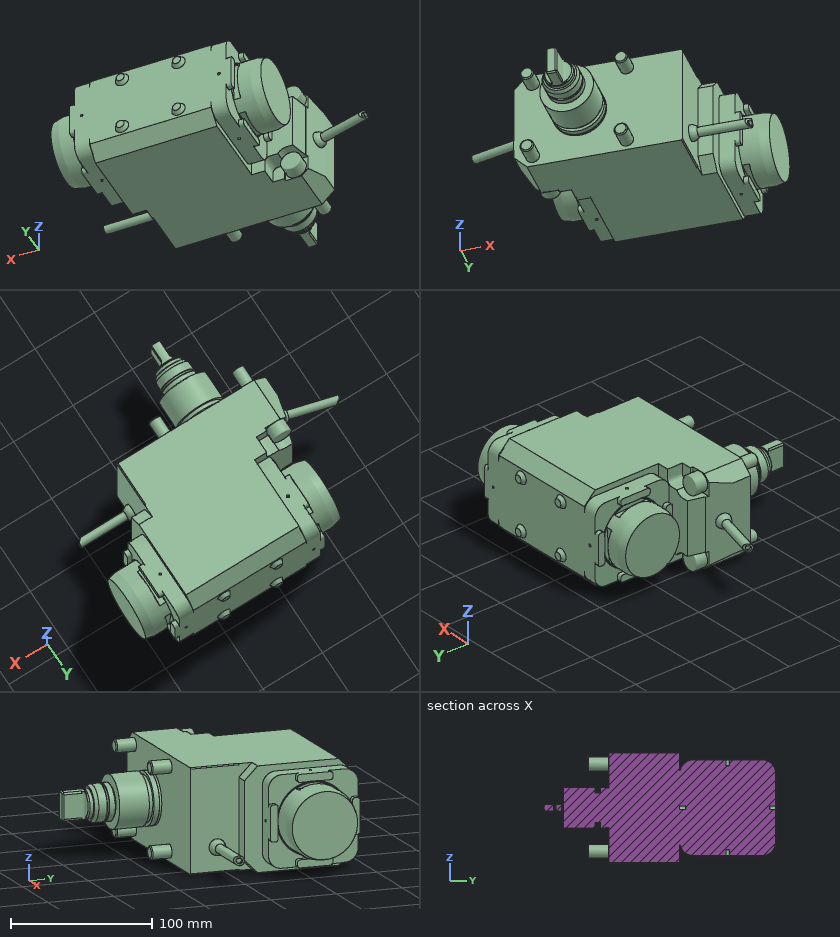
import cadquery as cq
import math


half_height = 39.0
corner_chamfer = 10.0
back_y = 118.6
step_y = 36.7
shelf_y = 50.3
base_left_x = -49.2
base_right_x = 76.2
base_right_chamfer = 0.8
mid_x = 40.0
half_width = 47.5
slope_start_y = 16.1
slope_angle = 15
upper_inset = 0.5

left_screw_x = -35.0
right_screw_x = 34.8
screw_z = 31.0
stud_d = 10.0
stud_length = 15.3
stud_chamfer = 0.8
head_d = 16.0
head_seat_y = 34.4
head_height = 10.0
head_fillet = 0.8
counterbore_r = 8.3
notch_floor_z = 26.5
notch_right_x = -17.8
notch_fillet = 4.5

flange_reach = 59.5
flange_size = 68.3
flange_y = shelf_y + flange_size / 2
flange_radius = 10.0
pad_thickness = 3.8
pad_length = 27.2
pad_width = 6.0
pad_radius = 2.1
left_pin_hole_d = 2.1
right_pin_hole_d = 1.7
pin_hole_reach = 53.7
pin_hole_depth = 4.2
cap_reach = 82.1
cap_d = 53.0
cap_end_d = 49.7
cap_taper_length = 7.0
relief_reach = 64.5
relief_half = 22.0
relief_turn = -4
cap_recess_d = 54.8
cap_recess_depth = 1.0

plug_base_d = 10.5
plug_top_d = 6.4
plug_height = 3.2
plug_pitch_x = 44.1
plug_pitch_z = 43.7

spindle_sections = [
    (39.5, -1.7),
    (40.0, -6.0),
    (35.0, -9.5),
    (40.0, -32.0),
    (25.0, -33.1),
    (28.0, -37.4),
    (25.9, -39.0),
    (28.0, -45.6),
]
nose_d = 25.0
nose_y = -48.4
collar_d = 22.0
collar_y = -52.2
collar_chamfer = 1.0
tang_end_y = -69.2
tang_thickness = 8.0
tang_fillet = 2.5
tang_chamfer = 1.0
tang_bevel_x = 0.8
tang_bevel_z = 2.1

cable_d = 7.0
cable_bore_d = 4.0
cable_bore_depth = 2.1
gland_d = 12.0
left_gland_lift = -0.2
right_gland_lift = 0.6
left_cable_y = 23.3
left_cable_length = 43.5
right_cable_y = 20.2
right_cable_z = -20.4
right_cable_length = 44.8

slope = math.tan(math.radians(slope_angle))


def sloped_x(y):
    """X of the sloped left side of the base at height y."""
    return base_left_x + (y - slope_start_y) * slope


def box(x0, x1, y0, y1, z0, z1):
    return cq.Workplane("XY").box(x1 - x0, y1 - y0, z1 - z0, centered=False).translate((x0, y0, z0))


def cylinder_y(diameter, x, z, y_start, y_end):
    return (
        cq.Workplane("XZ", origin=(x, y_start, z))
        .circle(diameter / 2)
        .extrude(y_start - y_end)
    )


def housing():
    base = (
        cq.Workplane("XY")
        .polyline([
            (base_left_x, 0),
            (base_right_x, 0),
            (base_right_x, step_y),
            (sloped_x(step_y), step_y),
            (base_left_x, slope_start_y),
        ])
        .close()
        .extrude(half_height, both=True)
        .faces(">X")
        .edges("|Y")
        .chamfer(base_right_chamfer)
    )
    corner_profile = (
        cq.Workplane("XZ")
        .rect(2 * (base_right_x - base_left_x), 2 * half_height)
        .extrude(-shelf_y)
        .edges("|Y")
        .chamfer(corner_chamfer)
        .translate((base_right_x, 0, 0))
    )
    shelf = (
        cq.Workplane("XY")
        .polyline([
            (sloped_x(step_y) + upper_inset, step_y),
            (mid_x, step_y),
            (mid_x, shelf_y),
            (sloped_x(shelf_y) + upper_inset, shelf_y),
        ])
        .close()
        .extrude(half_height, both=True)
    )
    lower = base.union(shelf).intersect(corner_profile)
    upper = (
        box(mid_x - half_width, mid_x + half_width, step_y, back_y, -half_height, half_height)
        .edges("|X")
        .chamfer(corner_chamfer)
    )
    infill = box(mid_x - half_width, base_right_x, step_y, shelf_y, -half_height, half_height)
    return lower.union(upper).union(infill)


def screw_pocket():
    """Clearance around the left upper screw head."""
    outside_x = base_left_x - 2.1
    notch = (
        box(outside_x, notch_right_x, step_y, shelf_y, notch_floor_z, half_height + notch_fillet)
        .edges("|Y and >X and <Z")
        .fillet(notch_fillet)
    )
    bore = cylinder_y(2 * counterbore_r, left_screw_x, screw_z, head_seat_y, shelf_y)
    floor_z = screw_z - counterbore_r
    side = box(outside_x, left_screw_x, head_seat_y, shelf_y, floor_z, half_height)
    top = box(outside_x, left_screw_x + counterbore_r, head_seat_y, shelf_y, screw_z, half_height)
    return notch.union(bore).union(side).union(top)


def screw_head():
    return (
        cylinder_y(head_d, left_screw_x, screw_z, head_seat_y, head_seat_y + head_height)
        .faces(">Y")
        .fillet(head_fillet)
    )


def stud(x, z):
    return cylinder_y(stud_d, x, z, 0, -stud_length).faces("<Y").chamfer(stud_chamfer)


def flange_pad():
    """Pad on the +Z edge of a flange, about the cap axis along +X."""
    edge = flange_size / 2
    return (
        cq.Workplane("YZ", origin=(flange_reach, 0, edge - pad_width / 2))
        .rect(pad_length, pad_width)
        .extrude(pad_thickness)
        .edges("|X")
        .fillet(pad_radius)
    )


def end_unit(pin_hole_d):
    """Flange with its pads, pin holes and cap, built about the cap axis along +X."""
    edge = flange_size / 2
    unit = (
        cq.Workplane("YZ", origin=(half_width, 0, 0))
        .rect(flange_size, flange_size)
        .extrude(flange_reach - half_width)
        .edges("|X")
        .fillet(flange_radius)
    )
    recess = (
        cq.Workplane("YZ", origin=(flange_reach - cap_recess_depth, 0, 0))
        .circle(cap_recess_d / 2)
        .extrude(cap_recess_depth)
    )
    cap = (
        cq.Workplane("XY")
        .polyline([
            (half_width, 0),
            (cap_reach, 0),
            (cap_reach, cap_end_d / 2),
            (cap_reach - cap_taper_length, cap_d / 2),
            (half_width, cap_d / 2),
        ])
        .close()
        .revolve(360, (0, 0, 0), (1, 0, 0))
    )
    for angle in (0, 90, 180, 270):
        if angle != 90:
            flat = box(flange_reach, relief_reach, -edge, edge, relief_half, edge)
            cap = cap.cut(flat.rotate((0, 0, 0), (1, 0, 0), angle + relief_turn))
    unit = unit.cut(recess).union(cap)
    for angle in (0, 90, 180, 270):
        pin_hole = (
            cq.Workplane("XY", origin=(pin_hole_reach, 0, edge - pin_hole_depth))
            .circle(pin_hole_d / 2)
            .extrude(pin_hole_depth)
        )
        unit = unit.union(flange_pad().rotate((0, 0, 0), (1, 0, 0), angle))
        unit = unit.cut(pin_hole.rotate((0, 0, 0), (1, 0, 0), angle))
    return unit


def plug(x, z):
    return (
        cq.Workplane("XZ", origin=(x, back_y, z))
        .circle(plug_base_d / 2)
        .workplane(offset=-plug_height)
        .circle(plug_top_d / 2)
        .loft()
    )


def spindle():
    profile = [(0, 0)]
    start_y = 0
    for diameter, end_y in spindle_sections:
        profile += [(diameter / 2, start_y), (diameter / 2, end_y)]
        start_y = end_y
    profile += [
        (nose_d / 2, nose_y),
        (collar_d / 2, nose_y),
        (collar_d / 2, collar_y + collar_chamfer),
        (collar_d / 2 - collar_chamfer, collar_y),
        (0, collar_y),
    ]
    shaft = cq.Workplane("XY").polyline(profile).close().revolve(360, (0, 0, 0), (0, 1, 0))

    half = tang_thickness / 2
    foot = half + tang_fillet
    tang = (
        cq.Workplane("XY")
        .moveTo(-foot, collar_y)
        .radiusArc((-half, collar_y - tang_fillet), tang_fillet)
        .lineTo(-half, tang_end_y + tang_chamfer)
        .lineTo(-half + tang_chamfer, tang_end_y)
        .lineTo(half - tang_chamfer, tang_end_y)
        .lineTo(half, tang_end_y + tang_chamfer)
        .lineTo(half, collar_y - tang_fillet)
        .radiusArc((foot, collar_y), tang_fillet)
        .close()
        .extrude(collar_d / 2, both=True)
    )
    round_end = cylinder_y(collar_d, 0, 0, collar_y, tang_end_y).faces("<Y").chamfer(tang_chamfer)
    tang = tang.intersect(round_end)

    bevel = (
        cq.Workplane("XZ", origin=(0, collar_y - tang_fillet, 0))
        .polyline([
            (half, collar_d / 2 - tang_bevel_z),
            (half, collar_d / 2),
            (half - tang_bevel_x, collar_d / 2),
        ])
        .close()
        .extrude(collar_y - tang_fillet - tang_end_y)
    )
    upper_bevels = bevel.union(bevel.mirror("YZ"))
    bevels = upper_bevels.union(upper_bevels.mirror("XY"))
    return shaft.union(tang.cut(bevels))


def cable(length, gland_lift):
    """Cable along +Z with a round gland; one half of its end is cut at 45 degrees, towards +X."""
    radius = cable_d / 2
    gland = cq.Workplane("XY").sphere(gland_d / 2).translate((0, 0, gland_lift))
    trim = (
        cq.Workplane("XZ")
        .polyline([(0, length), (radius, length), (radius, length - radius)])
        .close()
        .extrude(radius, both=True)
    )
    bore = (
        cq.Workplane("XY", origin=(0, 0, length - cable_bore_depth))
        .circle(cable_bore_d / 2)
        .extrude(cable_bore_depth)
    )
    wire = cq.Workplane("XY").circle(radius).extrude(length).cut(trim).cut(bore)
    return gland.union(wire)


def placed(solid, origin, trim_side, direction):
    """Move a solid so that its +X points to trim_side and its +Z along direction."""
    plane = cq.Plane(origin=origin, xDir=trim_side, normal=direction)
    return cq.Workplane(solid.val().moved(cq.Location(plane)))


result = housing()

pocket = screw_pocket()
head = screw_head()
for part_to_cut in (pocket, pocket.mirror("XY")):
    result = result.cut(part_to_cut)
for part_to_add in (head, head.mirror("XY")):
    result = result.union(part_to_add)

for x in (left_screw_x, right_screw_x):
    for z in (-screw_z, screw_z):
        result = result.union(stud(x, z))

right_end = end_unit(right_pin_hole_d)
left_end = end_unit(left_pin_hole_d).mirror("YZ")
for end in (left_end, right_end):
    result = result.union(end.translate((mid_x, flange_y, 0)))

for side_x in (-1, 1):
    for side_z in (-1, 1):
        result = result.union(plug(mid_x + side_x * plug_pitch_x / 2, side_z * plug_pitch_z / 2))

result = result.union(spindle())

sin_slope = math.sin(math.radians(slope_angle))
cos_slope = math.cos(math.radians(slope_angle))
left_cable = placed(
    cable(left_cable_length, left_gland_lift),
    (sloped_x(left_cable_y), left_cable_y, 0),
    (sin_slope, cos_slope, 0),
    (-cos_slope, sin_slope, 0),
)
right_cable = placed(
    cable(right_cable_length, right_gland_lift),
    (base_right_x, right_cable_y, right_cable_z),
    (0, -1, 0),
    (1, 0, 0),
)
result = result.union(left_cable).union(right_cable)